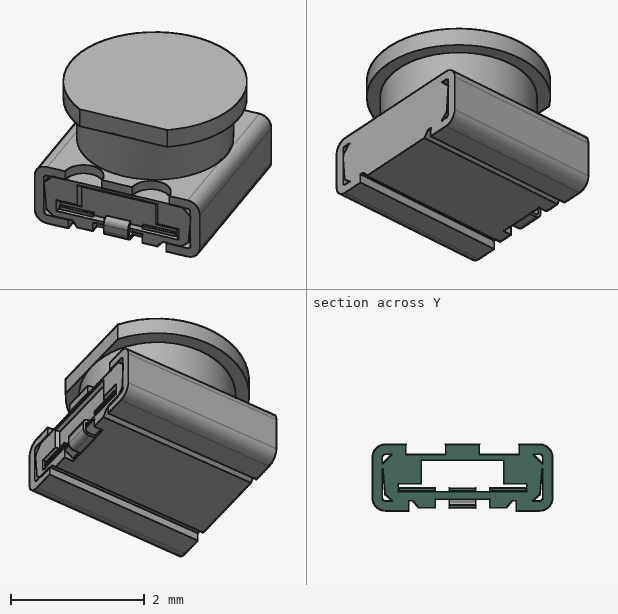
import cadquery as cq
import math


cap_diameter = 2.75
cap_thickness = 0.3
neck_diameter = 2.35
neck_height = 0.702
cap_flat_y = -neck_diameter / 2

frame_width = 2.7
frame_height = 1.0
frame_length = 2.652
frame_front = -1.405
frame_back = frame_front + frame_length
frame_wall = 0.15
frame_outer_radius = 0.2
frame_inner_radius = frame_outer_radius - frame_wall
lip_gap = 1.602
notch_radius = 0.3
notch_offset = 0.55

core_setback = 0.01
core_front = frame_front + core_setback
core_top = frame_height - frame_wall
core_half_width = frame_width / 2 - frame_wall
core_top_chamfer = 0.142
core_side_foot = (1.16, 0.245)
core_lower_half_width = 1.05
foot_top_half_width = 0.745
foot_half_width = 0.655
foot_z = 0.045

recess_depth = 0.048
recess_half_width = 0.657
recess_wing_half_width = 1.0
recess_top = 0.8
recess_step_z = 0.447
recess_bottom = 0.252
recess_floor_y = core_front + recess_depth

slot_width = 0.81
slot_depth = 0.15
slot_front_z = 0.198
slot_back_z = 0.102
slot_back = core_front + slot_depth

sheet = 0.048
terminal_width = 0.4
terminal_front = -1.455
terminal_top = recess_bottom + recess_depth + sheet
terminal_bottom = 0.042
terminal_radius = 0.1
bar_inner_x = slot_width / 2
bar_outer_x = recess_wing_half_width - recess_depth


def mirrored_outline(right_side):
    """Close a right-hand outline with its mirror image across X = 0."""
    left_side = [(-x, z) for x, z in reversed(right_side)]
    return right_side + left_side


def extrude_back(points, front, back):
    """Extrude an XZ outline from the plane Y = front to the plane Y = back."""
    return cq.Workplane("XZ", origin=(0, front, 0)).polyline(points).close().extrude(front - back)


def make_cap():
    neck = (
        cq.Workplane("XY", origin=(0, 0, frame_height))
        .circle(neck_diameter / 2)
        .extrude(neck_height)
    )
    disc = (
        cq.Workplane("XY", origin=(0, 0, frame_height + neck_height))
        .circle(cap_diameter / 2)
        .extrude(cap_thickness)
    )
    flat_cutter = cq.Workplane("XY").box(
        cap_diameter, cap_diameter, cap_thickness, centered=(True, True, False)
    )
    flat_offset = cap_flat_y - cap_diameter / 2
    disc = disc.cut(flat_cutter.translate((0, flat_offset, frame_height + neck_height)))
    return neck.union(disc)


def rounded_tube(width, height, radius):
    return (
        cq.Workplane("XZ", origin=(0, frame_front, frame_height / 2))
        .rect(width, height)
        .extrude(-frame_length)
        .edges("|Y")
        .fillet(radius)
    )


def make_frame():
    outside = rounded_tube(frame_width, frame_height, frame_outer_radius)
    inside = rounded_tube(
        frame_width - 2 * frame_wall, frame_height - 2 * frame_wall, frame_inner_radius
    )
    lip_opening = (
        cq.Workplane("XY", origin=(0, frame_front + frame_length / 2, 0))
        .rect(lip_gap, frame_length)
        .extrude(frame_wall)
    )
    notches = (
        cq.Workplane("XY", origin=(0, frame_front, core_top))
        .pushPoints([(-notch_offset, 0), (notch_offset, 0)])
        .circle(notch_radius)
        .extrude(frame_wall)
    )
    return outside.cut(inside).cut(lip_opening).cut(notches)


def make_core():
    right_side = [
        (foot_half_width, foot_z),
        (foot_top_half_width, frame_wall),
        (core_lower_half_width, frame_wall),
        core_side_foot,
        (core_half_width, core_top - core_top_chamfer),
        (core_half_width - core_top_chamfer, core_top),
    ]
    core = extrude_back(mirrored_outline(right_side), core_front, frame_back)
    return core.cut(make_recess()).cut(make_slot())


def recess_outline(inset):
    """Stepped recess outline, drawn in by the same inset on every side."""
    wing_x = recess_wing_half_width - inset
    upper_x = recess_half_width - inset
    right_side = [
        (wing_x, recess_bottom + inset),
        (wing_x, recess_step_z - inset),
        (upper_x, recess_step_z - inset),
        (upper_x, recess_top - inset),
    ]
    return mirrored_outline(right_side)


def make_recess():
    return (
        cq.Workplane("XZ", origin=(0, core_front, 0))
        .polyline(recess_outline(0))
        .close()
        .workplane(offset=-recess_depth)
        .polyline(recess_outline(recess_depth))
        .close()
        .loft(ruled=True)
    )


def make_slot():
    return (
        cq.Workplane("YZ")
        .polyline([
            (core_front, 0),
            (core_front, slot_front_z),
            (slot_back, slot_back_z),
            (slot_back, 0),
        ])
        .close()
        .extrude(slot_width / 2, both=True)
    )


def make_terminal():
    """C-shaped fold: out of the recess, down the front and back into the slot."""
    inner_radius = terminal_radius - sheet
    bend_y = terminal_front + terminal_radius
    upper_z = terminal_top - terminal_radius
    lower_z = terminal_bottom + terminal_radius
    diagonal = math.sqrt(0.5)
    outer_mid = terminal_radius * diagonal
    inner_mid = inner_radius * diagonal
    return (
        cq.Workplane("YZ")
        .moveTo(recess_floor_y, terminal_top)
        .lineTo(bend_y, terminal_top)
        .threePointArc((bend_y - outer_mid, upper_z + outer_mid), (terminal_front, upper_z))
        .lineTo(terminal_front, lower_z)
        .threePointArc((bend_y - outer_mid, lower_z - outer_mid), (bend_y, terminal_bottom))
        .lineTo(slot_back, terminal_bottom)
        .lineTo(slot_back, terminal_bottom + sheet)
        .lineTo(bend_y, terminal_bottom + sheet)
        .threePointArc((bend_y - inner_mid, lower_z - inner_mid), (bend_y - inner_radius, lower_z))
        .lineTo(bend_y - inner_radius, upper_z)
        .threePointArc((bend_y - inner_mid, upper_z + inner_mid), (bend_y, terminal_top - sheet))
        .lineTo(recess_floor_y, terminal_top - sheet)
        .close()
        .extrude(terminal_width / 2, both=True)
    )


def make_bars():
    """Two bars on the recess floor, flush with the core front and level with the terminal's top leg."""
    bar_length = bar_outer_x - bar_inner_x
    bar = cq.Workplane("XY").box(bar_length, recess_depth, sheet, centered=False)
    right_bar = bar.translate((bar_inner_x, core_front, terminal_top - sheet))
    return right_bar.union(right_bar.mirror("YZ"))


result = (
    make_frame()
    .union(make_core())
    .union(make_cap())
    .union(make_terminal())
    .union(make_bars())
)